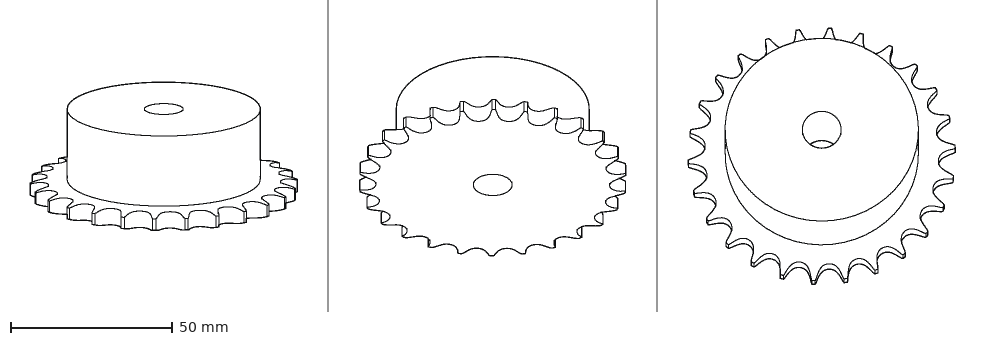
import cadquery as cq
import math

tip_diameter = 83.0
overall_height = 28.0
tooth_width = 5.3
hub_diameter = 60.0
bore_diameter = 12.0

tooth_count = 26
tooth_step = 360 / tooth_count
pitch_diameter = 79.0
roller_diameter = 6.4
seat_diameter = 6.5

rounding_start_radius = 37.1
rounding_depth = 0.8

tip_radius = tip_diameter / 2
pitch_radius = pitch_diameter / 2
seat_radius = seat_diameter / 2
working_offset = 0.8 * roller_diameter
topping_offset = 1.4 * roller_diameter
working_radius = seat_radius + working_offset
seat_half_angle = math.radians(55 - 60 / tooth_count)
working_angle = math.radians(18 - 56 / tooth_count)
topping_angle = math.radians(17 - 64 / tooth_count)
topping_sweep = math.radians(30)
flank_length = topping_offset * math.sin(topping_angle) - working_offset * math.sin(working_angle)
topping_radius = (
    working_offset * math.cos(working_angle) + topping_offset * math.cos(topping_angle) - working_radius
)


def arc_point(center, radius, angle):
    """Point on an arc, with the angle measured from straight down towards +X."""
    return (center[0] + radius * math.sin(angle), center[1] - radius * math.cos(angle))


def mirrored(point):
    """Point on the other side of the gap's centre line."""
    return (-point[0], point[1])


def tooth_gap():
    """Cutter for the gap centred on +Y."""
    flank_angle = seat_half_angle + working_angle
    seat_center = (0, pitch_radius)
    seat_bottom = arc_point(seat_center, seat_radius, 0)
    seat_end = arc_point(seat_center, seat_radius, seat_half_angle)

    working_center = arc_point(seat_center, seat_radius - working_radius, seat_half_angle)
    working_middle = arc_point(working_center, working_radius, seat_half_angle + working_angle / 2)
    working_end = arc_point(working_center, working_radius, flank_angle)

    flank_end = (
        working_end[0] + flank_length * math.cos(flank_angle),
        working_end[1] + flank_length * math.sin(flank_angle),
    )

    topping_center = arc_point(flank_end, topping_radius, flank_angle)
    topping_middle = arc_point(topping_center, -topping_radius, flank_angle - topping_sweep / 2)
    topping_end = arc_point(topping_center, -topping_radius, flank_angle - topping_sweep)

    return (
        cq.Workplane("XY")
        .moveTo(*mirrored(topping_end))
        .threePointArc(mirrored(topping_middle), mirrored(flank_end))
        .lineTo(*mirrored(working_end))
        .threePointArc(mirrored(working_middle), mirrored(seat_end))
        .threePointArc(seat_bottom, seat_end)
        .threePointArc(working_middle, working_end)
        .lineTo(*flank_end)
        .threePointArc(topping_middle, topping_end)
        .close()
        .extrude(tooth_width)
    )


def plain_disc():
    """Disc with both faces rounded off towards the rim."""
    rounding_length = tip_radius - rounding_start_radius
    rounding_radius = (rounding_length**2 + rounding_depth**2) / (2 * rounding_depth)
    middle_length = rounding_length / 2
    middle_depth = rounding_radius - math.sqrt(rounding_radius**2 - middle_length**2)
    middle_radius = rounding_start_radius + middle_length
    return (
        cq.Workplane("XZ")
        .lineTo(rounding_start_radius, 0)
        .threePointArc((middle_radius, middle_depth), (tip_radius, rounding_depth))
        .lineTo(tip_radius, tooth_width - rounding_depth)
        .threePointArc((middle_radius, tooth_width - middle_depth), (rounding_start_radius, tooth_width))
        .lineTo(0, tooth_width)
        .close()
        .revolve(360, (0, 0, 0), (0, 1, 0))
    )


def toothed_disc():
    """Disc cut by the ring of tooth gaps."""
    disc = plain_disc()
    gap = tooth_gap()
    for index in range(tooth_count):
        disc = disc.cut(gap.rotate((0, 0, 0), (0, 0, 1), index * tooth_step))
    return disc


hub = cq.Workplane("XY").circle(hub_diameter / 2).extrude(overall_height)
bore = cq.Workplane("XY").circle(bore_diameter / 2).extrude(overall_height)

result = toothed_disc().union(hub).cut(bore)